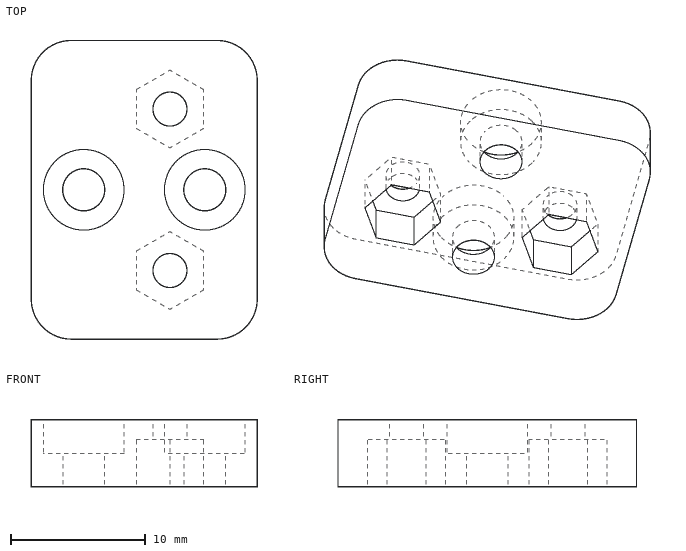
import math

import cadquery as cq

width = 16.8
length = 22.2
thickness = 5.0
corner_radius = 3.0

screw_spacing = 9.0
screw_diameter = 3.1
counterbore_diameter = 6.0
counterbore_depth = thickness / 2

bolt_spacing = 11.99
bolt_offset = 1.9
bolt_diameter = 2.5
nut_across_flats = 5.0
nut_pocket_depth = 3.5

screw_points = [(-screw_spacing / 2, 0), (screw_spacing / 2, 0)]
bolt_points = [(bolt_offset, -bolt_spacing / 2), (bolt_offset, bolt_spacing / 2)]


def make_plate():
    """Plate with rounded vertical edges, resting on Z = 0."""
    return (
        cq.Workplane("XY")
        .rect(width, length)
        .extrude(thickness)
        .edges("|Z")
        .fillet(corner_radius)
    )


def cut_screw_holes(body):
    """Through holes counterbored from the top face."""
    return (
        body.faces(">Z")
        .workplane(origin=(0, 0, thickness))
        .pushPoints(screw_points)
        .cboreHole(screw_diameter, counterbore_diameter, counterbore_depth)
    )


def cut_bolt_holes(body):
    """Plain through holes for the bolts."""
    return (
        body.faces(">Z")
        .workplane(origin=(0, 0, thickness))
        .pushPoints(bolt_points)
        .hole(bolt_diameter)
    )


def cut_nut_pockets(body):
    """Hexagonal pockets sunk from the bottom face, with two flats facing +X and -X."""
    across_corners = nut_across_flats / math.cos(math.pi / 6)
    pockets = (
        cq.Workplane("XY")
        .transformed(rotate=(0, 0, 90))
        .pushPoints([(y, -x) for x, y in bolt_points])
        .polygon(6, across_corners)
        .extrude(nut_pocket_depth)
    )
    return body.cut(pockets)


result = cut_nut_pockets(cut_bolt_holes(cut_screw_holes(make_plate())))